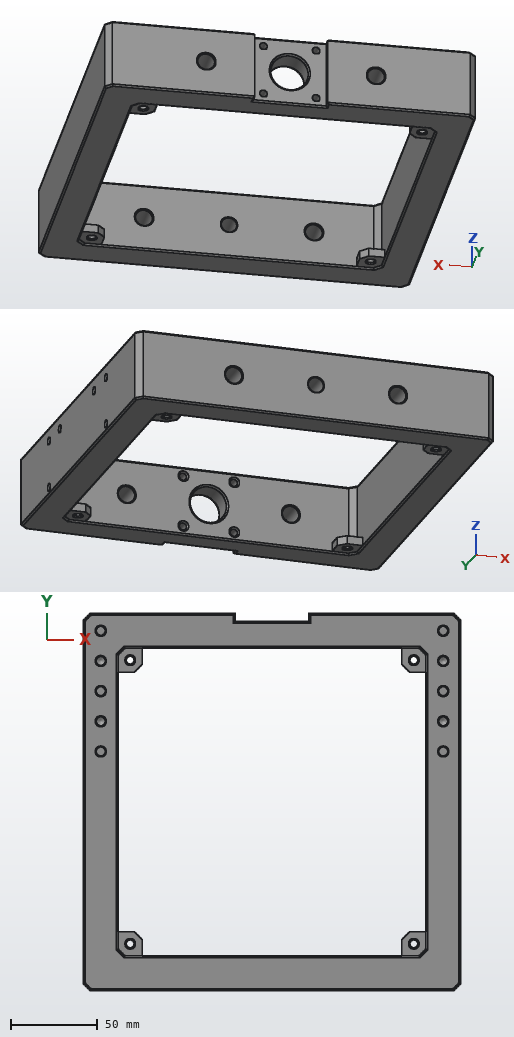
import cadquery as cq
import math

side = 218.0
height = 42.0
wall = 20.0
corner_cut = 4.0
edge_chamfer = 1.0
opening = side - 2 * wall
mid_height = height / 2

seat_width = 42.7
seat_depth = 4.5

lug_size = 14.0
lug_thickness = 5.0
lug_bottom = edge_chamfer
lug_cut = 4.5
lug_hole_inset = lug_size / 2
lug_hole_diameter = 4.5
lug_hole_chamfer = 0.76

rod_spacing = 50.0
rod_diameter = 10.0
shaft_hole_diameter = 9.2
rod_chamfer = 0.7
shaft_chamfer = 0.5

bore_diameter = 22.0
bore_chamfer = 1.0
motor_hole_pitch = 31.0
motor_hole_diameter = 4.4
motor_hole_chamfer = 0.98

top_hole_inset = 10.0
top_hole_pitch = 17.5
top_hole_count = 5
top_hole_diameter = 5.2
top_hole_depth = 20.0
top_hole_chamfer = 0.55
drill_point_angle = 118

upper_row_z = 33.5
lower_row_z = 4.8
side_hole_places = [
    (53.6, upper_row_z),
    (33.5, upper_row_z),
    (-29.6, upper_row_z),
    (-51.7, upper_row_z),
    (53.6, lower_row_z),
    (-51.7, lower_row_z),
]
side_hole_diameter = 2.5
side_hole_depth = 10.0
side_hole_chamfer = 1.0

SIGNS = (-1, 1)
UP = cq.Vector(0, 0, 1)
DOWN = cq.Vector(0, 0, -1)
BACKWARD = cq.Vector(0, 1, 0)
INTO_LEFT_SIDE = cq.Vector(1, 0, 0)


def cut_square(size, cut, thickness):
    """Centred square prism standing on Z = 0 with its upright edges chamfered."""
    return cq.Workplane("XY").rect(size, size).extrude(thickness).edges("|Z").chamfer(cut)


def bevelled_hole(mouth, direction, diameter, depth, chamfer):
    """Flat-ended hole cutter with a chamfered mouth."""
    radius = diameter / 2
    shank = cq.Solid.makeCylinder(radius, depth, mouth, direction)
    bevel = cq.Solid.makeCone(radius + chamfer, radius, chamfer, mouth, direction)
    return cq.Workplane(shank.fuse(bevel))


def through_hole(mouth, direction, diameter, depth, chamfer):
    """Hole cutter with both mouths chamfered."""
    exit_mouth = mouth + direction * depth
    from_entry = bevelled_hole(mouth, direction, diameter, depth, chamfer)
    from_exit = bevelled_hole(exit_mouth, direction * -1, diameter, depth, chamfer)
    return from_entry.union(from_exit)


def drill_point(base, direction, diameter):
    """Conical end left by a twist drill."""
    length = diameter / 2 / math.tan(math.radians(drill_point_angle / 2))
    return cq.Workplane(cq.Solid.makeCone(diameter / 2, 0, length, base, direction))


seat = cq.Workplane("XY").box(seat_width, 2 * seat_depth, height).translate((0, side / 2, mid_height))
result = cut_square(side, corner_cut, height).cut(cut_square(opening, corner_cut, height)).cut(seat)

result = result.faces("<Z or >Z").edges().chamfer(edge_chamfer)

for x_sign in SIGNS:
    for y_sign in SIGNS:
        corner = (x_sign * opening / 2, y_sign * opening / 2, lug_bottom)
        result = result.union(cut_square(2 * lug_size, lug_cut, lug_thickness).translate(corner))

lug_hole_place = opening / 2 - lug_hole_inset
for x_sign in SIGNS:
    for y_sign in SIGNS:
        mouth = cq.Vector(x_sign * lug_hole_place, y_sign * lug_hole_place, lug_bottom)
        result = result.cut(through_hole(mouth, UP, lug_hole_diameter, lug_thickness, lug_hole_chamfer))

front_mouth_y = -side / 2
back_mouth_y = opening / 2
for x in (-rod_spacing, rod_spacing):
    for y in (front_mouth_y, back_mouth_y):
        mouth = cq.Vector(x, y, mid_height)
        result = result.cut(through_hole(mouth, BACKWARD, rod_diameter, wall, rod_chamfer))

shaft_mouth = cq.Vector(0, front_mouth_y, mid_height)
result = result.cut(through_hole(shaft_mouth, BACKWARD, shaft_hole_diameter, wall, shaft_chamfer))

seat_wall = wall - seat_depth
bore_mouth = cq.Vector(0, back_mouth_y, mid_height)
result = result.cut(through_hole(bore_mouth, BACKWARD, bore_diameter, seat_wall, bore_chamfer))

for x_sign in SIGNS:
    for z_sign in SIGNS:
        shift = cq.Vector(x_sign * motor_hole_pitch / 2, 0, z_sign * motor_hole_pitch / 2)
        cutter = bevelled_hole(
            bore_mouth + shift, BACKWARD, motor_hole_diameter, seat_wall, motor_hole_chamfer
        )
        result = result.cut(cutter)

for x_sign in SIGNS:
    for index in range(top_hole_count):
        x = x_sign * (side / 2 - top_hole_inset)
        y = side / 2 - top_hole_inset - index * top_hole_pitch
        mouth = cq.Vector(x, y, height)
        cutter = bevelled_hole(mouth, DOWN, top_hole_diameter, top_hole_depth, top_hole_chamfer)
        result = result.cut(cutter)
        if index % 2 == 1:
            base = mouth + DOWN * top_hole_depth
            result = result.cut(drill_point(base, DOWN, top_hole_diameter))

for y, z in side_hole_places:
    mouth = cq.Vector(-side / 2, y, z)
    result = result.cut(
        bevelled_hole(mouth, INTO_LEFT_SIDE, side_hole_diameter, side_hole_depth, side_hole_chamfer)
    )